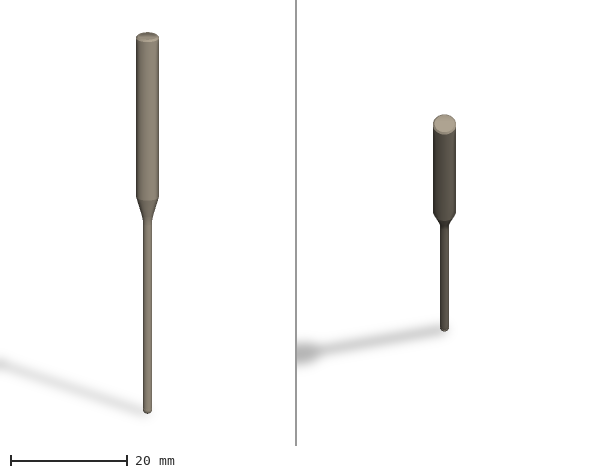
import cadquery as cq
import math

total_length = 70.0
shank_radius = 2.0
shank_chamfer = 0.3

neck_radius = 0.77
neck_top = 35.2
flare_angle = math.radians(16.0)
flare_fillet_radius = 5.8

tip_radius = 0.8
tip_land_height = 0.2
tip_length = tip_radius + tip_land_height


def flare_arc_point(angle):
    """Point on the flare fillet where its tangent leans outward by the given angle."""
    return (
        neck_radius + flare_fillet_radius * (1 - math.cos(angle)),
        neck_top + flare_fillet_radius * math.sin(angle),
    )


def make_shank():
    """Shank, conical flare and slender neck, turned about Z."""
    cone_start = flare_arc_point(flare_angle)
    cone_top = cone_start[1] + (shank_radius - cone_start[0]) / math.tan(flare_angle)
    return (
        cq.Workplane("XZ")
        .moveTo(0, tip_length)
        .lineTo(neck_radius, tip_length)
        .lineTo(neck_radius, neck_top)
        .threePointArc(flare_arc_point(flare_angle / 2), cone_start)
        .lineTo(shank_radius, cone_top)
        .lineTo(shank_radius, total_length - shank_chamfer)
        .lineTo(shank_radius - shank_chamfer, total_length)
        .lineTo(0, total_length)
        .close()
        .revolve(360, (0, 0, 0), (0, 1, 0))
    )


def make_tip():
    """Cutting tip: a hemispherical nose under a short cylindrical land, turned about Z."""
    arc_offset = tip_radius * math.sqrt(0.5)
    return (
        cq.Workplane("XZ")
        .threePointArc((arc_offset, tip_radius - arc_offset), (tip_radius, tip_radius))
        .lineTo(tip_radius, tip_length)
        .lineTo(0, tip_length)
        .close()
        .revolve(360, (0, 0, 0), (0, 1, 0))
    )


shank = make_shank()
tip = make_tip()

result = cq.Compound.makeCompound([shank.val(), tip.val()])